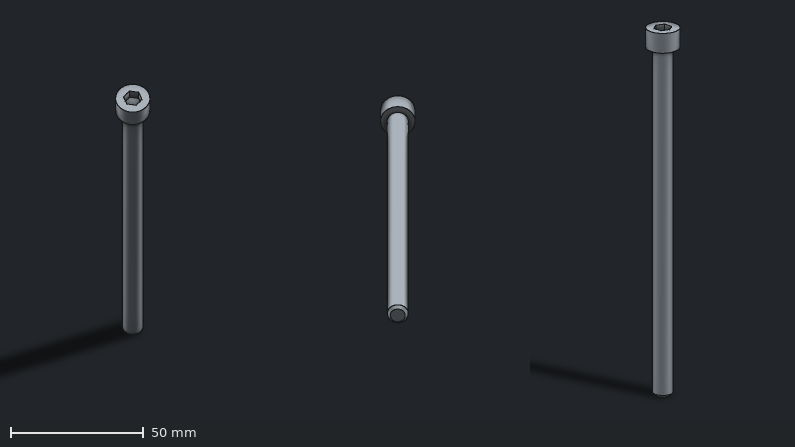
import cadquery as cq
import math

total_length = 148.0
head_diameter = 13.0
shank_diameter = 8.0
head_height = shank_diameter
socket_width = 6.0
socket_depth = 4.0
tip_chamfer = 1.2

shank_length = total_length - head_height
socket_corner_diameter = socket_width / math.cos(math.radians(30))

shank = (
    cq.Workplane("XY")
    .circle(shank_diameter / 2)
    .extrude(shank_length)
    .faces("<Z")
    .chamfer(tip_chamfer)
)

head = (
    cq.Workplane("XY")
    .workplane(offset=shank_length)
    .circle(head_diameter / 2)
    .extrude(head_height)
)

socket = (
    cq.Workplane("XY")
    .workplane(offset=total_length - socket_depth)
    .polygon(6, socket_corner_diameter)
    .extrude(socket_depth)
)

result = shank.union(head).cut(socket)